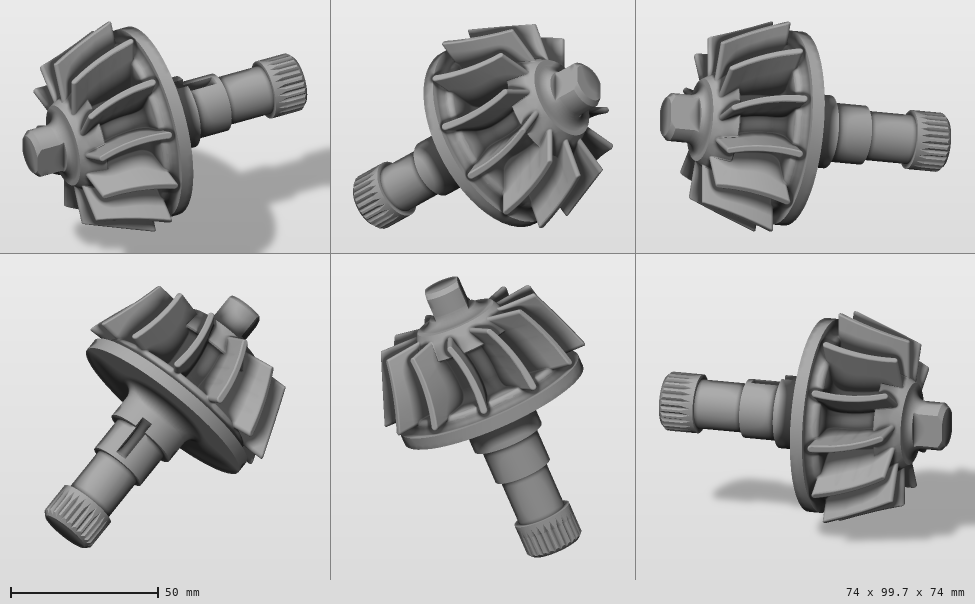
import cadquery as cq
import math

LENGTH = 99.7

NOSE_FLAT_END = 10.0
HUB_FRONT = 12.4
HUB_SHOULDER = 20.8
FLOOR = 37.4
FLANGE_FRONT = 41.6
FLANGE_BACK = 45.8
COLLAR_END = 58.1
KEY_SEAT_END = 70.8
HEAD_START = 87.3

NOSE_R = 8.2
HUB_FRONT_R = 14.1
HUB_SHOULDER_R = 18.7
NECK_R = 15.1
BOSS_R = 29.0
FLANGE_R = 33.1
COLLAR_R = 12.5
KEY_SEAT_R = 10.1
SHAFT_R = 8.4
HEAD_R = 10.1

NOSE_CHAMFER = 1.6
BODY_FILLET = 4.2
SHOULDER_FILLET = 1.5
SHOULDER_ROUND = 0.5
RIM_FILLET = 1.7
RIM_ROUND = 1.8
HEAD_CHAMFER = 1.5

NOSE_FLAT_WIDTH = 11.9

BLADE_COUNT = 12
BLADE_FRONT = 14.2
BLADE_BACK = 38.6
BLADE_TIP_R = 37.2
BLADE_TIP_TAPER = 20.0
BLADE_BURIED_R = 12.5
BLADE_ARC_R = 47.8
BLADE_ARC_LOW = 32.4
BLADE_ARC_SHIFT = -0.15
BLADE_BACK_THICKNESS = 2.5
BLADE_FRONT_THICKNESS = 2.1
BLADE_TIP_ROUND = 0.5
BLADE_ROOT_FILLET = 0.4
CONTACT_GAP = 0.0001

KEY_WIDTH = 4.0
KEY_RADIUS = 7.6
KEY_CENTRE_Y = 61.9
KEY_CENTRE_Z = 12.6

SPLINE_COUNT = 26
SPLINE_WIDTH = 1.7
SPLINE_DEPTH = 0.9
SPLINE_END = 91.5
SPLINE_RUNOUT_END = 88.4


def fillet_mid(centre_r, centre_y, radius, r_sign, y_sign):
    """Middle point of a quarter arc, on the given side of its centre."""
    reach = radius * math.sqrt(0.5)
    return (centre_r + r_sign * reach, centre_y + y_sign * reach)


def turned_body():
    f = BODY_FILLET
    s = SHOULDER_FILLET
    collar_fillet_end = FLANGE_BACK + f
    profile = (
        cq.Workplane("XY")
        .lineTo(NOSE_R - NOSE_CHAMFER, 0)
        .lineTo(NOSE_R, NOSE_CHAMFER)
        .lineTo(NOSE_R, HUB_FRONT - f)
        .threePointArc(fillet_mid(NOSE_R + f, HUB_FRONT - f, f, -1, 1), (NOSE_R + f, HUB_FRONT))
        .lineTo(HUB_FRONT_R, HUB_FRONT)
        .lineTo(HUB_SHOULDER_R, HUB_SHOULDER - SHOULDER_ROUND)
        .lineTo(HUB_SHOULDER_R - SHOULDER_ROUND, HUB_SHOULDER)
        .lineTo(NECK_R + s, HUB_SHOULDER)
        .threePointArc(fillet_mid(NECK_R + s, HUB_SHOULDER + s, s, -1, -1), (NECK_R, HUB_SHOULDER + s))
        .lineTo(NECK_R, FLOOR - f)
        .threePointArc(fillet_mid(NECK_R + f, FLOOR - f, f, -1, 1), (NECK_R + f, FLOOR))
        .lineTo(BOSS_R - RIM_ROUND, FLOOR)
        .threePointArc(
            fillet_mid(BOSS_R - RIM_ROUND, FLOOR + RIM_ROUND, RIM_ROUND, 1, -1),
            (BOSS_R, FLOOR + RIM_ROUND),
        )
        .lineTo(BOSS_R, FLANGE_FRONT - RIM_FILLET)
        .threePointArc(
            fillet_mid(BOSS_R + RIM_FILLET, FLANGE_FRONT - RIM_FILLET, RIM_FILLET, -1, 1),
            (BOSS_R + RIM_FILLET, FLANGE_FRONT),
        )
        .lineTo(FLANGE_R, FLANGE_FRONT)
        .lineTo(FLANGE_R, FLANGE_BACK)
        .lineTo(COLLAR_R + f, FLANGE_BACK)
        .threePointArc(
            fillet_mid(COLLAR_R + f, collar_fillet_end, f, -1, -1), (COLLAR_R, collar_fillet_end)
        )
        .lineTo(COLLAR_R, COLLAR_END)
        .lineTo(KEY_SEAT_R, COLLAR_END)
        .lineTo(KEY_SEAT_R, KEY_SEAT_END)
        .lineTo(SHAFT_R, KEY_SEAT_END)
        .lineTo(SHAFT_R, HEAD_START)
        .lineTo(HEAD_R, HEAD_START)
        .lineTo(HEAD_R, LENGTH - HEAD_CHAMFER)
        .lineTo(HEAD_R - HEAD_CHAMFER, LENGTH)
        .lineTo(0, LENGTH)
        .close()
    )
    return profile.revolve(360, (0, 0, 0), (0, 1, 0))


def blade_section():
    """Curved section that thins toward the front and has full-round front and back edges."""
    front_round = BLADE_FRONT_THICKNESS / 2
    back_round = BLADE_BACK_THICKNESS / 2
    front_y = BLADE_FRONT + front_round
    back_y = BLADE_BACK - back_round

    def point(y, half_thickness, across, along=0):
        """Point beside or beyond the centre line, in half thicknesses."""
        lean = math.asin((y - BLADE_ARC_LOW) / BLADE_ARC_R)
        centre_x = BLADE_ARC_SHIFT + BLADE_ARC_R * (1 - math.cos(lean))
        return (
            centre_x + half_thickness * (across * math.cos(lean) + along * math.sin(lean)),
            y + half_thickness * (along * math.cos(lean) - across * math.sin(lean)),
        )

    middle_y = (front_y + back_y) / 2
    middle_half = (front_round + back_round) / 2
    return (
        cq.Workplane("XY", origin=(0, 0, BLADE_BURIED_R))
        .moveTo(*point(front_y, front_round, -1))
        .threePointArc(point(middle_y, middle_half, -1), point(back_y, back_round, -1))
        .threePointArc(point(back_y, back_round, 0, 1), point(back_y, back_round, 1))
        .threePointArc(point(middle_y, middle_half, 1), point(front_y, front_round, 1))
        .threePointArc(point(front_y, front_round, 0, -1), point(front_y, front_round, -1))
        .close()
    )


def blade():
    section = blade_section().extrude(BLADE_TIP_R - BLADE_BURIED_R)
    front_tip_r = BLADE_TIP_R - (BLADE_BACK - BLADE_FRONT) * math.tan(math.radians(BLADE_TIP_TAPER))
    side_outline = (
        cq.Workplane("YZ")
        .polyline(
            [
                (BLADE_FRONT, 0),
                (BLADE_BACK, 0),
                (BLADE_BACK, BLADE_TIP_R),
                (BLADE_FRONT, front_tip_r),
            ]
        )
        .close()
        .extrude(BLADE_TIP_R, both=True)
    )
    return section.intersect(side_outline).edges("not(<Z or |Z)").fillet(BLADE_TIP_ROUND)


def touches(solid, edge):
    """Whether the middle of an edge lies on a solid."""
    middle = cq.Vertex.makeVertex(*edge.positionAt(0.5).toTuple())
    return solid.distance(middle) < CONTACT_GAP


def add_blades(turned, blades):
    """Join the blades to the turned body and fillet the closed loops where they meet it."""
    joined = turned.fuse(*blades).Solids()[0]
    blade_ring = cq.Compound.makeCompound(blades)
    root_edges = [
        edge for edge in joined.Edges() if touches(turned, edge) and touches(blade_ring, edge)
    ]
    return joined.fillet(BLADE_ROOT_FILLET, root_edges)


def nose_flats():
    """Stock removed on both X sides of the nose."""
    reach = 2 * NOSE_R
    cutter = cq.Workplane("XY").box(NOSE_R, NOSE_FLAT_END, reach, centered=(False, False, True))
    right = cutter.translate((NOSE_FLAT_WIDTH / 2, 0, 0))
    return right.union(right.mirror("YZ"))


def key_slot():
    return (
        cq.Workplane("YZ")
        .center(KEY_CENTRE_Y, KEY_CENTRE_Z)
        .circle(KEY_RADIUS)
        .extrude(KEY_WIDTH / 2, both=True)
    )


def spline_groove():
    """V groove on the +Z side, in two lengths: full depth, then rising out to the surface."""
    root_z = HEAD_R - SPLINE_DEPTH
    outer_z = HEAD_R + SPLINE_DEPTH
    section = cq.Wire.makePolygon(
        [
            cq.Vector(0, SPLINE_END, root_z),
            cq.Vector(SPLINE_WIDTH, SPLINE_END, outer_z),
            cq.Vector(-SPLINE_WIDTH, SPLINE_END, outer_z),
        ],
        close=True,
    )
    full_depth = cq.Vector(0, LENGTH - SPLINE_END, 0)
    runout = cq.Vector(0, SPLINE_RUNOUT_END - SPLINE_END, SPLINE_DEPTH)
    return [cq.Solid.extrudeLinear(section, [], path) for path in (full_depth, runout)]


def around_axis(solid, count):
    """Equally spaced copies of a solid about the Y axis."""
    origin = cq.Vector(0, 0, 0)
    axis_end = cq.Vector(0, 1, 0)
    return [solid.rotate(origin, axis_end, 360 * i / count) for i in range(count)]


blades = around_axis(blade().val(), BLADE_COUNT)
grooves = [copy for length in spline_groove() for copy in around_axis(length, SPLINE_COUNT)]
bladed_body = add_blades(turned_body().val(), blades)
splined_body = bladed_body.cut(*grooves)
result = cq.Workplane(splined_body).cut(nose_flats()).cut(key_slot())